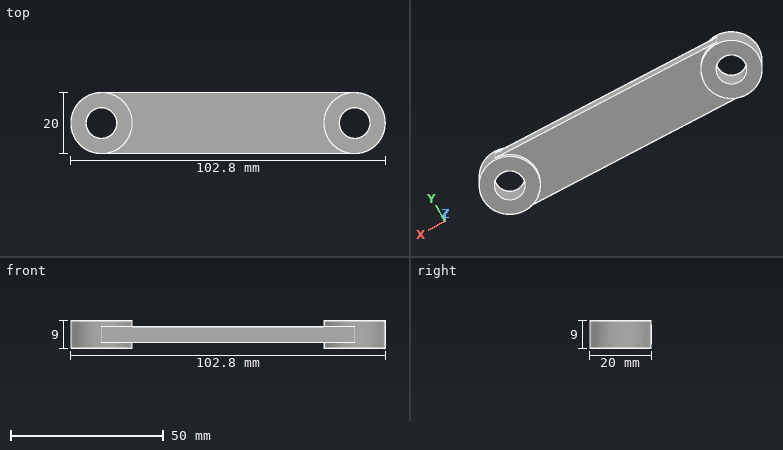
import cadquery as cq

overall_length = 102.8
boss_diameter = 20.0
boss_height = 9.0
hole_diameter = 10.0
web_thickness = 5.2

center_distance = overall_length - boss_diameter
boss_centers = [(-center_distance / 2, 0), (center_distance / 2, 0)]


def end_cylinders(diameter):
    """Full-height cylinders on both boss centres, centred on Z = 0."""
    return (
        cq.Workplane("XY", origin=(0, 0, -boss_height / 2))
        .pushPoints(boss_centers)
        .circle(diameter / 2)
        .extrude(boss_height)
    )


web = cq.Workplane("XY").box(center_distance, boss_diameter, web_thickness)

bosses = end_cylinders(boss_diameter)
pin_holes = end_cylinders(hole_diameter)

result = web.union(bosses).cut(pin_holes)